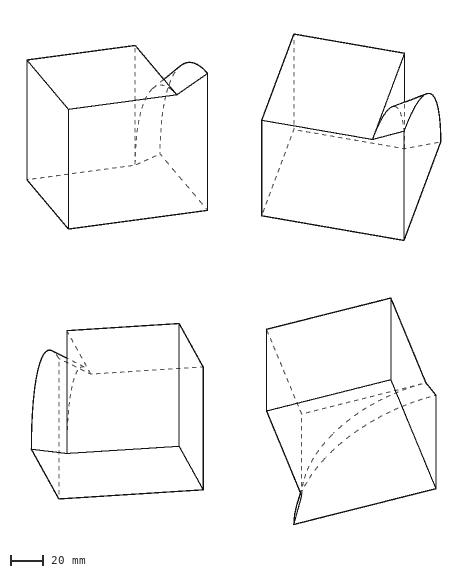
import cadquery as cq

outer_radius = 91.55
block_side = 80.0
block_depth = 70.0
flare_depth = 20.0

block = cq.Workplane("XY").box(block_side, block_depth, block_side, centered=False)
block = block.translate((-block_side, 0, 0))

flare_profile = (
    cq.Workplane("XY")
    .moveTo(0, block_depth)
    .lineTo(-block_side, block_depth)
    .lineTo(-outer_radius, block_depth + flare_depth)
    .lineTo(0, block_depth + flare_depth)
    .close()
)
flare = flare_profile.revolve(90, (0, 0, 0), (0, 1, 0))

result = block.union(flare)